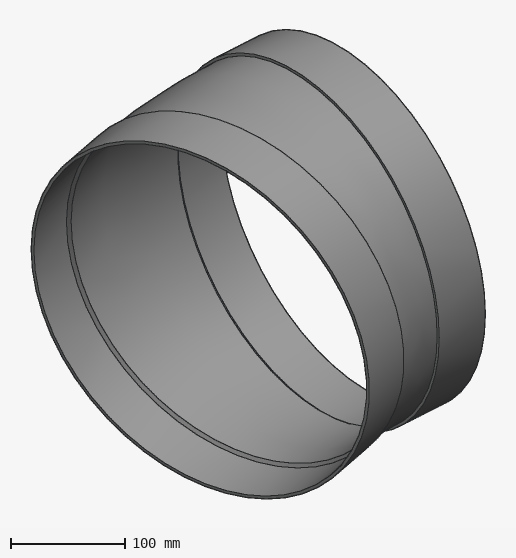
import cadquery as cq
import math

collar_diameter = 360.5
elbow_diameter = 355.0
wall = 3.0
collar_length = 53.0
bend_radius = 355.7
bend_angle = 15
bore_taper_length = 3.0

collar_bore = collar_diameter - 2 * wall
elbow_bore = elbow_diameter - 2 * wall

angle = math.radians(bend_angle)
outlet_length = collar_length + bend_radius * math.sin(angle)
outlet_offset = bend_radius * (1 - math.cos(angle))


def collar(joint, turn):
    """Sleeve with a tapered inner step, running from joint along +Y turned about Z."""
    profile = (
        cq.Workplane("XY")
        .moveTo(elbow_bore / 2, 0)
        .lineTo(collar_diameter / 2, 0)
        .lineTo(collar_diameter / 2, collar_length)
        .lineTo(collar_bore / 2, collar_length)
        .lineTo(collar_bore / 2, bore_taper_length)
        .close()
    )
    sleeve = profile.revolve(360, (0, 0, 0), (0, 1, 0))
    return sleeve.rotate((0, 0, 0), (0, 0, 1), turn).translate(joint)


def elbow():
    """Thin ring turned about an axis parallel to Z."""
    plane = cq.Plane(origin=(0, collar_length, 0), xDir=(1, 0, 0), normal=(0, 1, 0))
    rings = cq.Workplane(plane).circle(elbow_diameter / 2).circle(elbow_bore / 2)
    return rings.revolve(bend_angle, (bend_radius, 0, 0), (bend_radius, 1, 0))


inlet_collar = collar((0, collar_length, 0), 180)
outlet_collar = collar((outlet_offset, outlet_length, 0), -bend_angle)
result = inlet_collar.union(elbow()).union(outlet_collar)